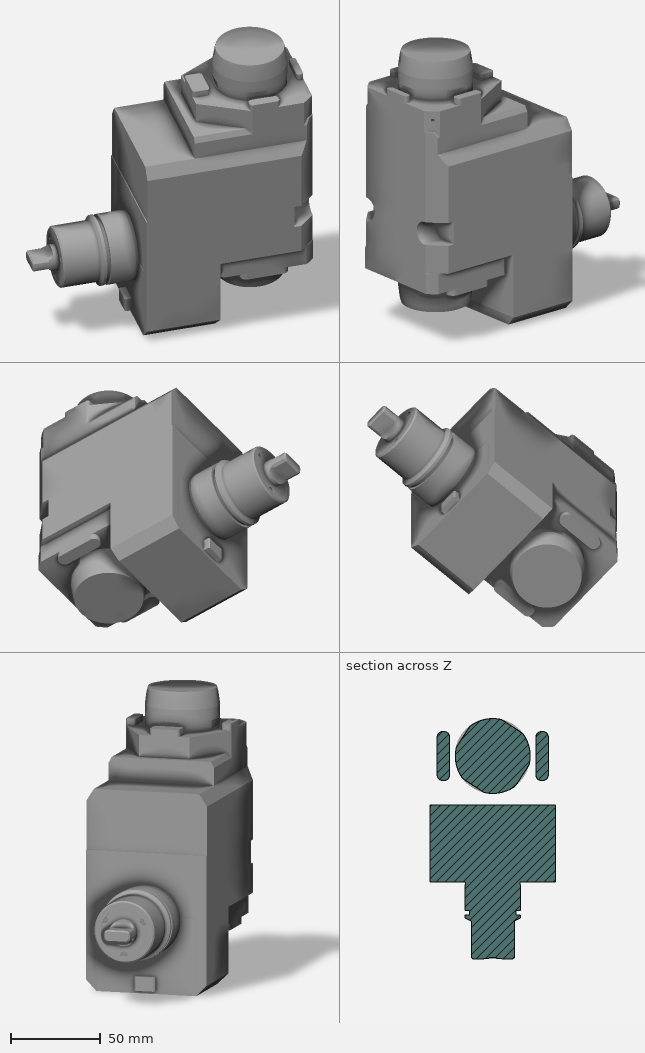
import cadquery as cq
import math


body_half_width = 35.0
back_y = 28.8
front_y = -70.1
upper_front_y = -69.7
front_step_z = 79.5
body_top_z = 114.0
body_bottom_z = 43.5
leg_back_y = -27.2
back_chamfer = 9.0
top_chamfer_x = 4.4
top_chamfer_z = 6.8
leg_chamfer_x = 6.0
leg_chamfer_z = 6.2
leg_back_taper = 1.5

deck_half_width = body_half_width - top_chamfer_x
deck_front_y = -41.0
deck_top_z = 127.3
deck_chamfer_x = 1.8
deck_chamfer_z = 3.2

flange_top_z = 139.5
flange_round_radius = 37.9
flange_front_y = -35.5
flange_front_half_width = 14.7
flange_taper_y = -7.5

lower_flange_half_width = 31.1
lower_flange_bottom_z = 31.3
lower_flange_round_radius = 39.2
lower_flange_leg_gap = 0.3
lower_flange_front_y = leg_back_y + lower_flange_leg_gap
lower_flange_corner = 2.9

key_half_length = 8.6
key_height = 3.9
key_corner_radius = 1.8
front_key_depth = 9.9
side_key_depth = 5.5
back_key_depth = 3.9
lower_key_half_length = 13.8
lower_key_depth = 7.3
lower_key_corner_radius = 3.4

drum_radius = 42.0 / 2
drum_end_radius = 19.3
drum_mid_radius = 20.4
drum_top_z = 162
drum_bottom_z = 13.1
drum_crown_height = 10.0
slot_floor_radius = 19.8
slot_width = 16.8
upper_slot_bottom_z = 140.1
upper_slot_top_z = 145.0
upper_slot_turn = -3.5
lower_slot_bottom_z = 26.5
lower_slot_turn = -33

shank_z = 42.0
shank_root_radius = 39.5 / 2
shank_radius = 40.0 / 2
shank_groove_radius = 36.5 / 2
shank_nose_radius = 35.0 / 2
shank_root_depth = 1.6
shank_root_end = 1.0
shank_bevel_end = 1.6
groove_start = 16.0
groove_end = 18.3
flange_bevel_start = 20.0
nose_start = 21.7
shank_end = 43.0
nose_chamfer = 0.8

tang_radius = 15.0 / 2
tang_tip = 57.7
tang_collar_end = 45.4
tang_half_thickness = 3.4
tang_fillet = 2.8
tang_edge_chamfer = 1.1
tang_tip_chamfer = 0.8
plug_radius = 13.6
plug_recess = 0.2
pin_notch_radius = 2.1
pin_notch_depth = 0.8
pin_notch_circle = 13.1
pin_notch_count = 3
first_pin_notch_angle = 30

panel_half_width = body_half_width - leg_chamfer_x
panel_height = 43.4
panel_rise = 0.2
front_key_half_width = 6.0
front_key_bottom_z = 2.0
front_key_top_z = 9.9
front_key_rise = 4.0
front_key_chamfer = 0.8
screw_recess_radius = 6.72
screw_recess_z = 66.9
screw_recess_depth = 13.1
screw_recess_x = 25.1
side_hole_radius = 2.1 / 2
side_hole_depth = 3.2
side_hole_z = 134.0
side_hole_angle = 42


def box(x_min, x_max, y_min, y_max, z_min, z_max):
    size = (x_max - x_min, y_max - y_min, z_max - z_min)
    return cq.Workplane("XY").box(*size, centered=False).translate((x_min, y_min, z_min))


def plan_block(points, z_min, z_max):
    """Upright prism whose plan outline is the given points."""
    return cq.Workplane("XY").workplane(offset=z_min).polyline(points).close().extrude(z_max - z_min)


def front_block(points, y_min, y_max):
    """Prism along Y whose front outline is the given (x, z) points."""
    return cq.Workplane("XZ", origin=(0, y_max, 0)).polyline(points).close().extrude(y_max - y_min)


def mirrored(half_points):
    """Close an outline by mirroring its +X half onto the -X side."""
    return half_points + [(-x, v) for x, v in reversed(half_points)]


def make_housing():
    front_outline = mirrored([
        (body_half_width - leg_chamfer_x, 0),
        (body_half_width, leg_chamfer_z),
        (body_half_width, body_top_z - top_chamfer_z),
        (deck_half_width, body_top_z),
    ])
    housing = front_block(front_outline, front_y, back_y)

    deck_outline = mirrored([
        (deck_half_width, body_top_z),
        (deck_half_width, deck_top_z - deck_chamfer_z),
        (deck_half_width - deck_chamfer_x, deck_top_z),
    ])
    housing = housing.union(front_block(deck_outline, deck_front_y, back_y))

    plan_outline = mirrored([
        (body_half_width, front_y),
        (body_half_width, back_y - back_chamfer),
        (body_half_width - back_chamfer, back_y),
    ])
    housing = housing.intersect(plan_block(plan_outline, 0, deck_top_z))

    below_rear = (
        cq.Workplane("YZ", origin=(-body_half_width, 0, 0))
        .moveTo(leg_back_y - leg_back_taper, 0)
        .lineTo(leg_back_y, leg_chamfer_z)
        .lineTo(leg_back_y, body_bottom_z)
        .lineTo(back_y, body_bottom_z)
        .lineTo(back_y, 0)
        .close()
        .extrude(2 * body_half_width)
    )
    front_relief = box(
        -body_half_width, body_half_width, front_y, upper_front_y, front_step_z, body_top_z
    )
    return housing.cut(below_rear).cut(front_relief)


def rear_round(radius, z_min, z_max):
    """Half disc behind the drum axis that runs on as a straight block in front of it."""
    disc = cq.Workplane("XY").workplane(offset=z_min).circle(radius).extrude(z_max - z_min)
    return disc.union(box(-radius, radius, front_y, 0, z_min, z_max))


def make_upper_flange():
    outline = mirrored([
        (flange_front_half_width, flange_front_y),
        (deck_half_width, flange_taper_y),
        (deck_half_width, back_y),
    ])
    base_z = deck_top_z - deck_chamfer_z
    flange = plan_block(outline, base_z, flange_top_z)
    return flange.intersect(rear_round(flange_round_radius, base_z, flange_top_z))


def make_lower_flange():
    outline = mirrored([
        (lower_flange_half_width - lower_flange_corner, lower_flange_front_y),
        (lower_flange_half_width, lower_flange_front_y + lower_flange_corner),
        (lower_flange_half_width, back_y),
    ])
    flange = plan_block(outline, lower_flange_bottom_z, body_bottom_z)
    return flange.intersect(rear_round(lower_flange_round_radius, lower_flange_bottom_z, body_bottom_z))


def make_key(x_min, x_max, y_min, y_max, z_min, corner_radius=key_corner_radius):
    key = box(x_min, x_max, y_min, y_max, z_min, z_min + key_height)
    return key.edges("|Z").fillet(corner_radius)


def make_upper_keys():
    half = key_half_length
    side_inner = deck_half_width - side_key_depth
    keys = make_key(-half, half, flange_front_y, flange_front_y + front_key_depth, flange_top_z)
    keys = keys.union(make_key(-half, half, back_y - back_key_depth, back_y, flange_top_z))
    side_key = make_key(side_inner, deck_half_width, -half, half, flange_top_z)
    return keys.union(side_key).union(side_key.mirror("YZ"))


def make_lower_keys():
    half = lower_key_half_length
    outer = lower_flange_half_width
    inner = outer - lower_key_depth
    base_z = lower_flange_bottom_z - key_height
    key = make_key(inner, outer, -half, half, base_z, lower_key_corner_radius)
    return key.union(key.mirror("YZ"))


def make_drum(root_z, end_z, slot_bottom_z, slot_top_z, slot_turn):
    """Drum with a crowned end, and four shallow slots around its root."""
    away = math.copysign(1, end_z - root_z)
    crown_z = end_z - away * drum_crown_height
    drum = (
        cq.Workplane("XZ")
        .moveTo(0, root_z)
        .lineTo(drum_radius, root_z)
        .lineTo(drum_radius, crown_z)
        .threePointArc((drum_mid_radius, (crown_z + end_z) / 2), (drum_end_radius, end_z))
        .lineTo(0, end_z)
        .close()
        .revolve(360, (0, 0, 0), (0, 1, 0))
    )
    slot = box(
        -slot_width / 2, slot_width / 2, -drum_radius, -slot_floor_radius, slot_bottom_z, slot_top_z
    )
    for quarter in range(4):
        drum = drum.cut(slot.rotate((0, 0, 0), (0, 0, 1), slot_turn + 90 * quarter))
    return drum


def make_shank():
    profile = [
        (0, -shank_root_depth),
        (shank_root_radius, -shank_root_depth),
        (shank_root_radius, shank_root_end),
        (shank_radius, shank_bevel_end),
        (shank_radius, groove_start),
        (shank_groove_radius, groove_start),
        (shank_groove_radius, groove_end),
        (shank_radius, groove_end),
        (shank_radius, flange_bevel_start),
        (shank_nose_radius, nose_start),
        (shank_nose_radius, shank_end - nose_chamfer),
        (shank_nose_radius - nose_chamfer, shank_end),
        (0, shank_end),
    ]
    shank = cq.Workplane("XY").polyline(profile).close().revolve(360, (0, 0, 0), (0, 1, 0))
    shank = shank.rotate((0, 0, 0), (0, 0, 1), 180).translate((0, front_y, shank_z))

    end_face = cq.Workplane("XZ", origin=(0, front_y - shank_end, shank_z))
    shank = shank.cut(end_face.circle(plug_radius).extrude(-plug_recess))
    pin_holes = (
        end_face.polarArray(pin_notch_circle, first_pin_notch_angle, 360, pin_notch_count)
        .circle(pin_notch_radius).extrude(-pin_notch_depth)
        .intersect(end_face.circle(plug_radius).extrude(-pin_notch_depth))
    )
    return shank.cut(pin_holes)


def round_bar(radius, y_min, y_max):
    """Round bar along Y on the shank axis."""
    return cq.Workplane("XZ", origin=(0, y_max, shank_z)).circle(radius).extrude(y_max - y_min)


def make_tang():
    collar_y = front_y - tang_collar_end
    tip_y = front_y - tang_tip
    start_y = front_y - nose_start

    blade = round_bar(tang_radius, tip_y, start_y).intersect(
        box(
            -tang_radius, tang_radius, tip_y, start_y,
            shank_z - tang_half_thickness, shank_z + tang_half_thickness
        )
    )
    blade = blade.edges("|Y").chamfer(tang_edge_chamfer)
    blade = blade.faces("<Y").chamfer(tang_tip_chamfer)

    diagonal = tang_fillet * (1 - math.sqrt(0.5))
    flare_end = collar_y - tang_fillet
    flare = (
        cq.Workplane("YZ", origin=(-tang_radius, 0, shank_z))
        .moveTo(flare_end, 0)
        .lineTo(flare_end, tang_half_thickness)
        .threePointArc(
            (collar_y - diagonal, tang_half_thickness + diagonal),
            (collar_y, tang_half_thickness + tang_fillet),
        )
        .lineTo(collar_y, 0)
        .close()
        .extrude(2 * tang_radius)
    )
    flare = flare.union(flare.mirror("XY", (0, 0, shank_z)))
    flare = flare.intersect(round_bar(tang_radius, flare_end, collar_y))
    return blade.union(flare).union(round_bar(tang_radius, collar_y, start_y))


def make_front_details():
    panel = box(
        -panel_half_width, panel_half_width, front_y - panel_rise, front_y, 0, panel_height
    )
    key = box(
        -front_key_half_width, front_key_half_width, front_y - front_key_rise, front_y,
        front_key_bottom_z, front_key_top_z
    )
    return panel.union(key.faces("<Y").edges("|Z").chamfer(front_key_chamfer))


def make_screw_recesses():
    """Round-ended slots cut from the back, open through both sides of the housing."""
    slot_length = 4 * screw_recess_radius
    center_x = screw_recess_x - screw_recess_radius + slot_length / 2
    return (
        cq.Workplane("XZ", origin=(0, back_y, 0))
        .pushPoints([(-center_x, screw_recess_z), (center_x, screw_recess_z)])
        .slot2D(slot_length, 2 * screw_recess_radius)
        .extrude(screw_recess_depth)
    )


def make_side_hole():
    """Small radial hole in the rounded corner of the upper flange."""
    start = flange_round_radius - side_hole_depth
    hole = (
        cq.Workplane("YZ", origin=(start, 0, side_hole_z))
        .circle(side_hole_radius)
        .extrude(2 * side_hole_depth)
    )
    return hole.rotate((0, 0, 0), (0, 0, 1), 180 - side_hole_angle)


result = make_housing()
result = result.union(make_upper_flange()).union(make_lower_flange())
result = result.union(make_upper_keys()).union(make_lower_keys())
result = result.union(
    make_drum(flange_top_z, drum_top_z, upper_slot_bottom_z, upper_slot_top_z, upper_slot_turn)
)
result = result.union(
    make_drum(
        lower_flange_bottom_z, drum_bottom_z, lower_slot_bottom_z, lower_flange_bottom_z, lower_slot_turn
    )
)
result = result.union(make_front_details())
result = result.union(make_shank()).union(make_tang())
result = result.cut(make_screw_recesses()).cut(make_side_hole())